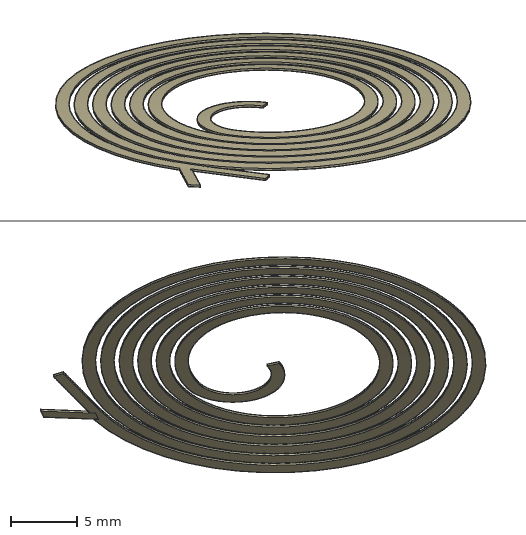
import cadquery as cq

TURNS = 6
PITCH = 1.4
OVERALL_LENGTH = 34.9
COIL_WIDTH = 31.0
BAND_WIDTH = 1.0
THICKNESS = 0.167
INNER_EDGE_RISE = 0.052

HOOK_RADIUS = 3.9

LEAD_LENGTH = 6.0
LEAD_WIDTH = 0.85

TAIL_END_X = 1.05
TAIL_RUN = 1.95
TAIL_DROP = 3.2
TAIL_END_DX = 0.9
TAIL_END_DY = 0.2
TAIL_OVERLAP = 0.1

START_RADIUS = (COIL_WIDTH - (2 * TURNS - 1) * PITCH) / 2
END_RADIUS = START_RADIUS + TURNS * PITCH
COIL_TOP_Y = END_RADIUS - PITCH / 2
TAIL_END_Y = COIL_TOP_Y - OVERALL_LENGTH


def section(plane, inner_edge, width=BAND_WIDTH):
    """Dished band section; local x runs outward from the inner edge, local y is up."""
    rise_at_outer_edge = INNER_EDGE_RISE * (1 - width / BAND_WIDTH)
    outer_edge = inner_edge + width
    return cq.Workplane(plane).polyline([
        (inner_edge, INNER_EDGE_RISE),
        (outer_edge, rise_at_outer_edge),
        (outer_edge, rise_at_outer_edge + THICKNESS),
        (inner_edge, INNER_EDGE_RISE + THICKNESS),
    ]).close()


def half_ring(center_y, outer_radius, side):
    """Half turn of band around (0, center_y); side is +1 for right, -1 for left."""
    plane = cq.Plane(origin=(0, center_y, 0), xDir=(0, -side, 0), normal=(-side, 0, 0))
    return section(plane, outer_radius - BAND_WIDTH).revolve(180, (0, 0), (0, 1))


def spiral():
    """Tangent half rings with centres alternating above and below the origin."""
    coil = None
    for turn in range(TURNS):
        radius = START_RADIUS + turn * PITCH
        right = half_ring(PITCH / 4, radius + PITCH / 4, 1)
        left = half_ring(-PITCH / 4, radius + 3 * PITCH / 4, -1)
        coil = right if coil is None else coil.union(right)
        coil = coil.union(left)
    return coil


def hook():
    """Half ring curling back from the start of the spiral towards the centre."""
    return half_ring(HOOK_RADIUS - START_RADIUS, HOOK_RADIUS, -1)


def lead():
    """Straight narrower strip in line with the inner edge of the band's outer end."""
    plane = cq.Plane(origin=(0, 0, 0), xDir=(0, -1, 0), normal=(-1, 0, 0))
    return section(plane, END_RADIUS - BAND_WIDTH, LEAD_WIDTH).extrude(-LEAD_LENGTH)


def tail():
    """Flat slanted strip leaving the outer end of the band."""
    run = TAIL_RUN * (1 + TAIL_OVERLAP)
    drop = TAIL_DROP * (1 + TAIL_OVERLAP)
    return (
        cq.Workplane("XY")
        .moveTo(TAIL_END_X, TAIL_END_Y)
        .line(TAIL_END_DX, TAIL_END_DY)
        .line(-run, drop)
        .line(-TAIL_END_DX, -TAIL_END_DY)
        .close()
        .extrude(THICKNESS)
    )


result = spiral().union(hook()).union(lead()).union(tail())